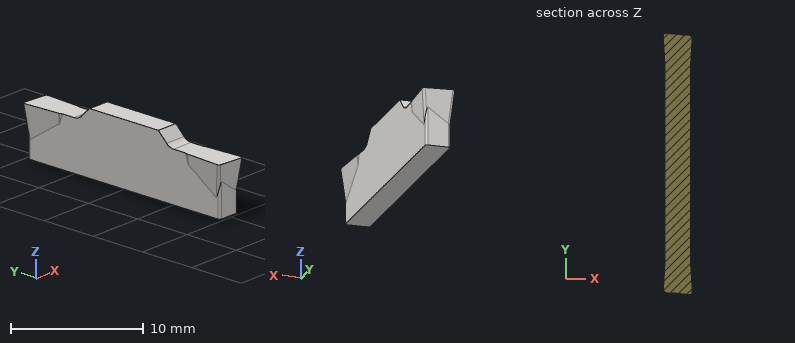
import cadquery as cq
import math

body_width = 2.0
body_length = 19.5
body_height = 5.65
body_corner_radius = 0.2

rake_height = 4.52
plateau_length = 7.0
ramp_angle = 45.0
ramp_foot_radius = 1.0

side_relief = math.tan(math.radians(5.0))
side_taper = math.tan(math.radians(3.4))
shoulder_taper = math.tan(math.radians(15.0))
end_relief = math.tan(math.radians(7.0))
end_skew = math.tan(math.radians(5.0))
shoulder_distance = 6.51
shoulder_depth = 0.85
shoulder_radius = 0.4
end_face_depth = 2.06
nose_radius = 0.2

head_root_distance = 5.6
head_root_height = 1.0


def make_body():
    """Flat bar with rounded end corners and a raised middle block."""
    half_plateau = plateau_length / 2
    ramp_run = (body_height - rake_height) / math.tan(math.radians(ramp_angle))
    ramp_foot = half_plateau + ramp_run
    bar = (
        cq.Workplane("XY")
        .box(body_width, body_length, rake_height, centered=(True, True, False))
        .edges("|Z")
        .fillet(body_corner_radius)
    )
    turn = math.radians(ramp_angle)
    tangent = ramp_foot_radius * math.tan(turn / 2)
    foot_end = ramp_foot + tangent
    arc_start = (ramp_foot - tangent * math.cos(turn), rake_height + tangent * math.sin(turn))
    arc_middle = (
        foot_end - ramp_foot_radius * math.sin(turn / 2),
        rake_height + ramp_foot_radius * (1 - math.cos(turn / 2)),
    )
    block = (
        cq.Workplane("YZ")
        .moveTo(-foot_end, 0)
        .lineTo(foot_end, 0)
        .lineTo(foot_end, rake_height)
        .threePointArc(arc_middle, arc_start)
        .lineTo(half_plateau, body_height)
        .lineTo(-half_plateau, body_height)
        .lineTo(-arc_start[0], arc_start[1])
        .threePointArc((-arc_middle[0], arc_middle[1]), (-foot_end, rake_height))
        .close()
        .extrude(body_width / 2, both=True)
    )
    return bar.union(block)


def head_outline(height):
    """Corner points of the -Y head, cut level at the given height."""
    depth = rake_height - height
    shoulder_x = body_width / 2 + side_relief * (shoulder_depth - depth)
    root_x = shoulder_x - shoulder_taper * (shoulder_distance - head_root_distance)
    end_distance = body_length / 2 + end_relief * (end_face_depth - depth)

    def end_corner(side):
        flank_x = shoulder_x + side_taper * (end_distance - shoulder_distance)
        x = side * flank_x / (1 - side * side_taper * end_skew)
        return (x, -(end_distance + end_skew * x))

    return [
        (-root_x, -head_root_distance),
        (-shoulder_x, -shoulder_distance),
        end_corner(-1),
        end_corner(1),
        (shoulder_x, -shoulder_distance),
        (root_x, -head_root_distance),
    ]


def make_head():
    """Head at the -Y end, with rounded noses and blended shoulders."""
    head = (
        cq.Workplane("XY", origin=(0, 0, head_root_height))
        .polyline(head_outline(head_root_height))
        .close()
        .workplane(offset=rake_height - head_root_height)
        .polyline(head_outline(rake_height))
        .close()
        .loft(ruled=True)
    )
    half_head_height = (rake_height - head_root_height) / 2
    side_edges = [edge for edge in head.edges().vals() if edge.BoundingBox().zlen > half_head_height]
    side_edges.sort(key=lambda edge: edge.Center().y)
    nose_edges = side_edges[0:2]
    shoulder_edges = side_edges[2:4]
    rounded = head.newObject(nose_edges).fillet(nose_radius)
    return rounded.newObject(shoulder_edges).fillet(shoulder_radius)


head = make_head()
opposite_head = head.rotate((0, 0, 0), (0, 0, 1), 180)
result = make_body().union(head).union(opposite_head).clean()